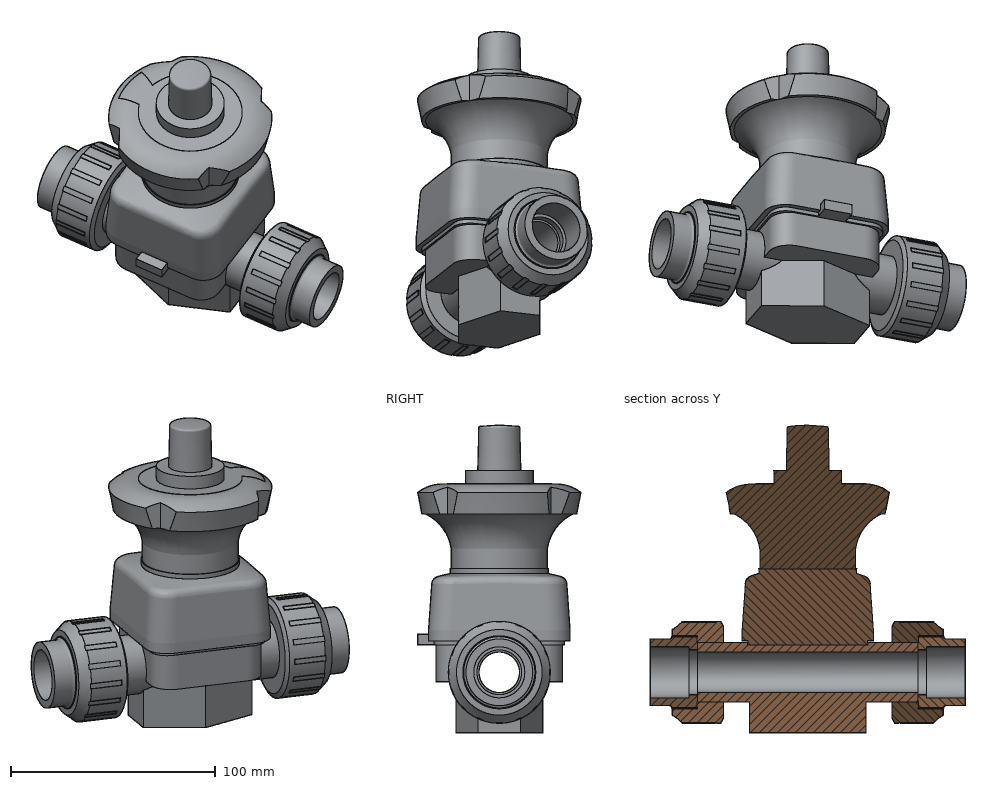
import cadquery as cq
import math


overall_length = 154.0
end_x = overall_length / 2
overall_height = 150.5
base_z = -29.5
pipe_radius = 14.6
bore_radius = 9.9
body_half_x = 28.5
body_half_y = 31.0
body_corner_radius = 10.3
body_bottom_z = -4.6
body_top_z = 13.4
foot_half_y = 21.3
foot_end_half_y = 10.3

connector_length = 23.1
tube_radius = 16.3
tube_step_offset = 9.4
collar_radius = 17.4
socket_radius = 12.5
socket_depth = 19.0
connector_bore_radius = 11.0

nut_radius = 25.0
nut_mouth_radius = 21.0
nut_bore_radius = 17.9
nut_start = 10.8
nut_cone_end = 15.9
nut_chamfer_start = 34.5
nut_end = 35.9
nut_back_radius = 22.5
slot_count = 16
slot_width = 2.6
slot_depth = 0.38
slot_end = 31.7

bonnet_half_x = 32.2
bonnet_half_y = 34.6
bonnet_corner_radius = 11.1
bonnet_inset = 2.8
skirt_bottom_z = 15.4
skirt_top_z = 20.5
shoulder_z = 46.2
wall_draft = 4.0
shoulder_radius = 4.0
edge_margin = 0.2
collar_base_z = 48.4
bonnet_collar_radius = 24.0
roof_seam_angles = (39.0, 58.0)
lug_half_width = 7.2
lug_top_z = 18.6

wheel_bottom_z = 50.7
wheel_diameter = 80.0
wheel_radius = wheel_diameter / 2
hub_radius = 23.5
hub_top_z = 60.4
flare_mid = (27.4, 70.0)
flare_top_radius = 36.0
rim_bottom_z = 77.3
rim_bottom_radius = 37.9
rim_edge_z = 88.0
wheel_top_z = 92.1
flat_radius = 27.7
notch_apex = 25.3
notch_reach = 15.4
notch_angles = (-104.0, 28.0)
notch_count = 4
plate_raise = 0.2
plate_radius = 25.4
pointer_radius = 36.7
pointer_inner_x = -23.1
pointer_outer_x = -38.5
pointer_inner_y = 4.8
pointer_outer_y = 14.5
pointer_low_y = -8.3
boss_radius = 16.6
boss_top_z = 98.7
stem_base_radius = 10.6
stem_top_radius = 10.2
stem_edge_z = 119.2
stem_rounding_radius = 1.1
stem_crown_z = base_z + overall_height


def rounded_block(half_x, half_y, corner_radius, bottom_z, top_z):
    """Upright block centred on the spindle axis with rounded vertical edges."""
    block = cq.Workplane("XY").workplane(offset=bottom_z).rect(2 * half_x, 2 * half_y)
    return block.extrude(top_z - bottom_z).edges("|Z").fillet(corner_radius)


def x_cylinder(radius, start_x, end_x_position):
    """Cylinder on the pipe axis between two X positions."""
    disc = cq.Workplane("YZ").workplane(offset=start_x).circle(radius)
    return disc.extrude(end_x_position - start_x)


def revolve_about_pipe(outline):
    """Revolve (offset from the pipe end, radius) points about the pipe axis, at the -X end."""
    points = [(offset - end_x, radius) for offset, radius in outline]
    profile = cq.Workplane("XY").polyline(points).close()
    return profile.revolve(360, (0, 0, 0), (1, 0, 0))


def make_valve_body():
    pipe_end_x = end_x - connector_length
    body = rounded_block(body_half_x, body_half_y, body_corner_radius, body_bottom_z, body_top_z)
    body = body.union(x_cylinder(pipe_radius, -pipe_end_x, pipe_end_x))
    foot = (
        cq.Workplane("XY")
        .workplane(offset=base_z)
        .polyline([
            (0, -foot_half_y),
            (body_half_x, -foot_end_half_y),
            (body_half_x, foot_end_half_y),
            (0, foot_half_y),
            (-body_half_x, foot_end_half_y),
            (-body_half_x, -foot_end_half_y),
        ])
        .close()
        .extrude(body_bottom_z - base_z)
    )
    body = body.union(foot)
    return body.cut(x_cylinder(bore_radius, -pipe_end_x, pipe_end_x))


def make_connector():
    rounding = collar_radius - tube_radius
    diagonal = rounding * math.sqrt(0.5)
    step_x = tube_step_offset - end_x
    inner_x = connector_length - end_x
    socket_x = socket_depth - end_x
    profile = (
        cq.Workplane("XY")
        .moveTo(-end_x, socket_radius)
        .lineTo(-end_x, tube_radius)
        .lineTo(step_x, tube_radius)
        .threePointArc(
            (step_x + diagonal, collar_radius - diagonal),
            (step_x + rounding, collar_radius),
        )
        .lineTo(inner_x, collar_radius)
        .lineTo(inner_x, connector_bore_radius)
        .lineTo(socket_x, connector_bore_radius)
        .lineTo(socket_x, socket_radius)
        .close()
    )
    return profile.revolve(360, (0, 0, 0), (1, 0, 0))


def make_nut():
    nut = revolve_about_pipe([
        (nut_start, nut_bore_radius),
        (nut_start, nut_mouth_radius),
        (nut_cone_end, nut_radius),
        (nut_chamfer_start, nut_radius),
        (nut_end, nut_back_radius),
        (nut_end, pipe_radius),
        (connector_length, pipe_radius),
        (connector_length, nut_bore_radius),
    ])
    slot_length = slot_end - nut_start
    slot = (
        cq.Workplane("XY")
        .box(slot_length, slot_width, 2 * slot_depth)
        .translate((nut_start - end_x + slot_length / 2, 0, nut_radius))
    )
    for index in range(slot_count):
        nut = nut.cut(slot.rotate((0, 0, 0), (1, 0, 0), index * 360 / slot_count))
    return nut


def rounded_outline(half_x, half_y, corner_radius, z):
    """Rounded rectangle wire, starting at the +X, +Y corner and running counter-clockwise."""
    diagonal = corner_radius * math.sqrt(0.5)
    corners = [(1, 1), (-1, 1), (-1, -1), (1, -1)]
    corner_arcs = []
    for sign_x, sign_y in corners:
        centre_x = sign_x * (half_x - corner_radius)
        centre_y = sign_y * (half_y - corner_radius)
        on_side = cq.Vector(sign_x * half_x, centre_y, z)
        on_front = cq.Vector(centre_x, sign_y * half_y, z)
        middle = cq.Vector(centre_x + sign_x * diagonal, centre_y + sign_y * diagonal, z)
        first, last = (on_side, on_front) if sign_x * sign_y > 0 else (on_front, on_side)
        corner_arcs.append((first, middle, last))

    edges = []
    for index, (first, middle, last) in enumerate(corner_arcs):
        edges.append(cq.Edge.makeThreePointArc(first, middle, last))
        next_first = corner_arcs[(index + 1) % len(corner_arcs)][0]
        edges.append(cq.Edge.makeLine(last, next_first))
    return cq.Wire.assembleEdges(edges)


def collar_outline(z):
    """Collar circle split at the roof seams, in the same order as the rounded outline."""
    low, high = roof_seam_angles
    angles = [low, high, 180 - high, 180 - low, 180 + low, 180 + high, 360 - high, 360 - low]

    def on_circle(angle):
        turn = math.radians(angle)
        return cq.Vector(bonnet_collar_radius * math.cos(turn), bonnet_collar_radius * math.sin(turn), z)

    edges = []
    for start, stop in zip(angles, angles[1:] + [360 + low]):
        middle = (start + stop) / 2
        edges.append(cq.Edge.makeThreePointArc(on_circle(start), on_circle(middle), on_circle(stop)))
    return cq.Wire.assembleEdges(edges)


def make_bonnet():
    draft = (shoulder_z - skirt_top_z) * math.tan(math.radians(wall_draft))
    top_half_x = bonnet_half_x - draft
    top_half_y = bonnet_half_y - draft
    wall_base = rounded_outline(bonnet_half_x, bonnet_half_y, bonnet_corner_radius, skirt_top_z)
    wall_top = rounded_outline(top_half_x, top_half_y, bonnet_corner_radius, shoulder_z)
    walls = cq.Workplane(cq.Solid.makeLoft([wall_base, wall_top], True))
    roof = cq.Solid.makeLoft([wall_top, collar_outline(collar_base_z)], True)
    bonnet = walls.union(cq.Workplane(roof))
    shoulder = cq.selectors.BoxSelector(
        (-bonnet_half_x, -bonnet_half_y, shoulder_z - edge_margin),
        (bonnet_half_x, bonnet_half_y, shoulder_z + edge_margin),
    )
    bonnet = bonnet.edges(shoulder).fillet(shoulder_radius)

    skirt = rounded_block(bonnet_half_x, bonnet_half_y, bonnet_corner_radius, skirt_bottom_z, skirt_top_z)
    lip = rounded_block(
        bonnet_half_x - bonnet_inset,
        bonnet_half_y - bonnet_inset,
        bonnet_corner_radius - bonnet_inset,
        body_top_z,
        skirt_bottom_z,
    )
    collar = (
        cq.Workplane("XY")
        .workplane(offset=collar_base_z)
        .circle(bonnet_collar_radius)
        .extrude(wheel_bottom_z - collar_base_z)
    )
    lug_reach = wheel_radius
    lug = (
        cq.Workplane("XY")
        .workplane(offset=body_top_z)
        .center(0, -lug_reach / 2)
        .rect(2 * lug_half_width, lug_reach)
        .extrude(lug_top_z - body_top_z)
    )
    return bonnet.union(skirt).union(lip).union(collar).union(lug)


def wheel_turning(raise_by):
    """Hub and rim, with the dome and flat top lifted by the given amount."""
    drop = wheel_top_z - rim_edge_z
    dome_run = wheel_radius - flat_radius
    dome_radius = (dome_run ** 2 + drop ** 2) / (2 * drop)
    half_sweep = math.asin(dome_run / dome_radius) / 2
    dome_mid = (
        flat_radius + dome_radius * math.sin(half_sweep),
        wheel_top_z - dome_radius * (1 - math.cos(half_sweep)) + raise_by,
    )
    profile = (
        cq.Workplane("XZ")
        .moveTo(0, wheel_bottom_z)
        .lineTo(hub_radius, wheel_bottom_z)
        .lineTo(hub_radius, hub_top_z)
        .threePointArc(flare_mid, (flare_top_radius, rim_bottom_z))
        .lineTo(rim_bottom_radius, rim_bottom_z)
        .lineTo(wheel_radius, rim_edge_z + raise_by)
        .threePointArc(dome_mid, (flat_radius, wheel_top_z + raise_by))
        .lineTo(0, wheel_top_z + raise_by)
        .close()
    )
    return profile.revolve(360, (0, 0, 0), (0, 1, 0))


def make_pointer_plate():
    """Thin raised disc with a pointer tab that runs out over the dome towards -X."""
    height = boss_top_z - rim_edge_z
    sketch_plane = cq.Workplane("XY").workplane(offset=rim_edge_z)
    disc = sketch_plane.circle(plate_radius).extrude(height)
    tab = (
        sketch_plane
        .polyline([
            (pointer_inner_x, pointer_inner_y),
            (pointer_outer_x, pointer_outer_y),
            (pointer_outer_x, pointer_low_y),
            (pointer_inner_x, pointer_low_y),
        ])
        .close()
        .extrude(height)
    )
    tab = tab.intersect(sketch_plane.circle(pointer_radius).extrude(height))
    return wheel_turning(plate_raise).intersect(disc.union(tab))


def cut_grip_notches(wheel):
    first, last = [math.radians(angle) for angle in notch_angles]
    root_x = notch_apex
    root_y = -notch_apex
    notch = (
        cq.Workplane("XY")
        .workplane(offset=rim_bottom_z)
        .polyline([
            (root_x, root_y),
            (root_x + notch_reach * math.cos(first), root_y + notch_reach * math.sin(first)),
            (root_x + notch_reach, root_y - notch_reach),
            (root_x + notch_reach * math.cos(last), root_y + notch_reach * math.sin(last)),
        ])
        .close()
        .extrude(wheel_top_z - rim_bottom_z)
    )
    for index in range(notch_count):
        wheel = wheel.cut(notch.rotate((0, 0, 0), (0, 0, 1), index * 360 / notch_count))
    return wheel


def make_stem():
    """Boss and slightly tapered stem with a rounded rim and a crowned top."""
    crown_rim_radius = stem_top_radius - stem_rounding_radius
    crown_rim_z = stem_edge_z + stem_rounding_radius
    diagonal = stem_rounding_radius * math.sqrt(0.5)
    crown_rise = stem_crown_z - crown_rim_z
    crown_radius = (crown_rim_radius ** 2 + crown_rise ** 2) / (2 * crown_rise)
    crown_half_sweep = math.asin(crown_rim_radius / crown_radius) / 2
    crown_mid = (
        crown_radius * math.sin(crown_half_sweep),
        stem_crown_z - crown_radius * (1 - math.cos(crown_half_sweep)),
    )
    profile = (
        cq.Workplane("XZ")
        .moveTo(0, wheel_top_z)
        .lineTo(boss_radius, wheel_top_z)
        .lineTo(boss_radius, boss_top_z)
        .lineTo(stem_base_radius, boss_top_z)
        .lineTo(stem_top_radius, stem_edge_z)
        .threePointArc(
            (crown_rim_radius + diagonal, stem_edge_z + diagonal),
            (crown_rim_radius, crown_rim_z),
        )
        .threePointArc(crown_mid, (0, stem_crown_z))
        .close()
    )
    return profile.revolve(360, (0, 0, 0), (0, 1, 0))


def make_handwheel():
    wheel = cut_grip_notches(wheel_turning(0))
    return wheel.union(make_pointer_plate()).union(make_stem())


valve_body = make_valve_body()
bonnet = make_bonnet()
handwheel = make_handwheel()
left_connector = make_connector()
left_nut = make_nut()

bodies = [valve_body.val(), bonnet.val(), handwheel.val()]
for left_part in (left_connector, left_nut):
    bodies.append(left_part.val())
    bodies.append(left_part.mirror("YZ").val())

result = cq.Compound.makeCompound(bodies)